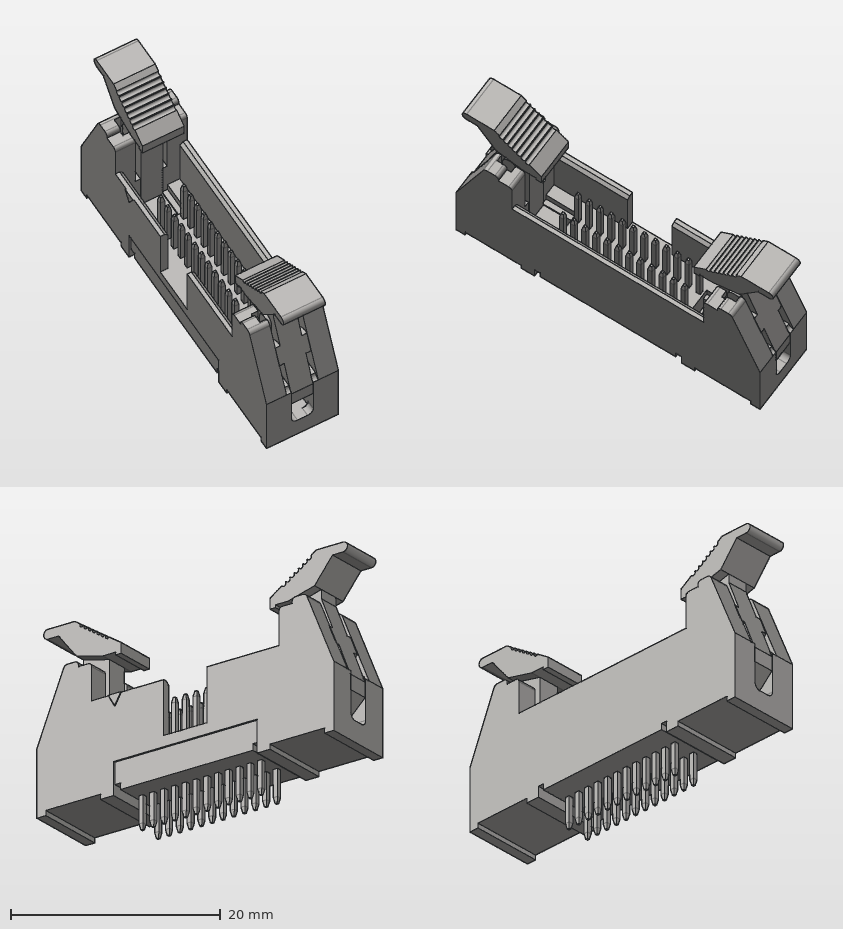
import cadquery as cq
import math


body_half_length = 17.5
body_depth = 7.95
underside_z = 0.55
floor_z = 4.72
wall_top_z = 10.55
cavity_half_width = 3.15
lead_in_width = 0.35
lead_in_height = 0.32

tower_inner_x = 11.02
tower_step_x = 12.6
tower_crest_x = 14.2
tower_ledge_z = 14.53
tower_top_z = 15.15
shoulder_z = 7.23
step_radius = 0.4
crest_radius = 0.55
tower_gap = 3.5
gap_floor_z = 7.75
gap_lip = gap_floor_z - shoulder_z

key_slot_width = 5.1
relief_half_length = 8.45
relief_top_z = 3.55
relief_depth = 0.2
corner_notch_length = 0.65
corner_notch_top_z = 1.2
end_foot_length = 1.07
inner_foot_length = 1.55
mark_x = -8.25
mark_width = 1.5
mark_height = 1.3
mark_thickness = 0.1

pins_per_row = 12
pin_pitch = 1.27
row_spacing = 2.55
pin_width = 0.5
pin_bottom_z = -3.0
pin_top_z = 9.8
pin_tip_length = 0.6
pin_tip_inset = 0.125

latch_width = 2.4
latch_inner_x = 10.9
neck_x = 14.03
neck_top_z = 16.6
neck_bottom_z = 15.65
latch_heel_x = 17.43
latch_heel_top_z = 6.9
latch_heel_bottom_z = 5.3
foot_tip_x = 8.23
foot_heel_x = 14.45
foot_bottom_z = 2.5
foot_top_z = 3.75
pivot_x = 15.1
pivot_z = 11.05
pivot_diameter = 2.5
boss_x = 12.92
boss_z = 13.67
boss_bottom_z = 12.28
boss_diameter = 1.6
boss_span = 3.15

handle_width = 4.6
handle_tip_x = 17.9
handle_top_z = 20.3
handle_tip_thickness = 1.05
handle_underside_x = 16.15
ramp_top_x = 14.2
ramp_end_x = 8.77
ramp_end_z = 16.68
hook_root_x = 9.4
hook_top_z = 15.82
hook_bottom_z = 15.55
groove_count = 7
first_groove_x = 13.4
groove_pitch_x = 0.5
groove_radius = 0.25

latch_slot_end_x = 7.48
latch_slot_floor_z = 2.25
window_length = 1.0
window_corner_radius = 0.65
foot_recess_width = 3.58
foot_recess_floor_z = 3.95
guide_span = 5.0
guide_floor_inner_z = 13.6
guide_floor_outer_z = 11.1


def box(x_range, y_range, z_range):
    """Axis-aligned box between three pairs of limits."""
    size = [high - low for low, high in (x_range, y_range, z_range)]
    corner = (x_range[0], y_range[0], z_range[0])
    return cq.Workplane("XY").box(*size, centered=False).translate(corner)


def centered_plate(outline, width):
    """Extrude an XZ outline to a width centred on Y = 0."""
    return outline.extrude(width / 2, both=True)


def polygon(points):
    return cq.Workplane("XZ").polyline(points).close()


def both_ends(right_end):
    """The feature at the +X end together with its mirror image."""
    return right_end.union(right_end.mirror("YZ"))


def y_span(width):
    return (-width / 2, width / 2)


def make_tower():
    """One end of the housing: a full-depth block with a sloping outer side."""
    profile = polygon([
        (tower_inner_x, 0),
        (body_half_length, 0),
        (body_half_length, shoulder_z),
        (tower_crest_x, tower_top_z),
        (tower_step_x, tower_top_z),
        (tower_step_x, tower_ledge_z),
        (tower_inner_x, tower_ledge_z),
    ])
    tower = centered_plate(profile, body_depth)

    def round_edge(solid, x, z, radius):
        near = 0.05
        selector = cq.selectors.BoxSelector(
            (x - near, -body_depth, z - near), (x + near, body_depth, z + near))
        return solid.edges(selector).fillet(radius)

    tower = round_edge(tower, tower_crest_x, tower_top_z, crest_radius)
    tower = round_edge(tower, tower_step_x, tower_top_z, step_radius)
    return round_edge(tower, tower_inner_x, tower_ledge_z, step_radius)


def make_tower_gap():
    """Gap between the tower halves, with a concave lip at the outer end."""
    outline = (
        cq.Workplane("XZ")
        .moveTo(tower_inner_x, gap_floor_z)
        .lineTo(body_half_length - gap_lip, gap_floor_z)
        .radiusArc((body_half_length, shoulder_z), -gap_lip)
        .lineTo(body_half_length, handle_top_z)
        .lineTo(tower_inner_x, handle_top_z)
        .close()
    )
    return centered_plate(outline, tower_gap)


def make_boss_guide():
    """Top-loading groove in the tower walls with a sloping floor."""
    inner_x = boss_x - boss_diameter / 2
    outer_x = boss_x + boss_diameter / 2
    outline = polygon([
        (inner_x, handle_top_z),
        (inner_x, guide_floor_inner_z),
        (outer_x, guide_floor_outer_z),
        (outer_x, handle_top_z),
    ])
    return centered_plate(outline, guide_span)


def make_latch_slot():
    """Slot for the latch, open at the top and through a round-cornered window in the end face."""
    window_inner_x = body_half_length - window_length
    slot = box((latch_slot_end_x, window_inner_x), y_span(latch_width),
               (latch_slot_floor_z, handle_top_z))
    window = box((window_inner_x, body_half_length), y_span(latch_width),
                 (latch_slot_floor_z, handle_top_z))
    window = window.edges("|X and <Z").fillet(window_corner_radius)
    foot_recess = box((latch_slot_end_x, tower_inner_x), y_span(foot_recess_width),
                      (foot_recess_floor_z, floor_z))
    return slot.union(window).union(foot_recess)


def make_cavity():
    """Mating cavity with a chamfered lead-in along both long walls."""
    half_mouth = cavity_half_width + lead_in_width
    lead_in_z = wall_top_z - lead_in_height
    return (
        cq.Workplane("YZ")
        .polyline([
            (-cavity_half_width, floor_z),
            (cavity_half_width, floor_z),
            (cavity_half_width, lead_in_z),
            (half_mouth, wall_top_z),
            (-half_mouth, wall_top_z),
            (-cavity_half_width, lead_in_z),
        ])
        .close()
        .extrude(tower_inner_x, both=True)
    )


def make_underside_cut():
    """Space under the housing that leaves a foot at each end and beside the relief."""
    end_space = box(
        (relief_half_length + inner_foot_length, body_half_length - end_foot_length),
        y_span(body_depth), (0, underside_z))
    corner_notch = box(
        (relief_half_length - corner_notch_length, relief_half_length),
        y_span(body_depth), (0, corner_notch_top_z))
    middle_space = box((-relief_half_length, relief_half_length),
                       y_span(body_depth), (0, underside_z))
    return both_ends(end_space.union(corner_notch)).union(middle_space)


def make_housing():
    front_y = -body_depth / 2
    middle = box((-tower_inner_x, tower_inner_x), y_span(body_depth), (0, wall_top_z))
    housing = middle.union(both_ends(make_tower()))
    housing = housing.cut(make_cavity()).cut(make_underside_cut())

    latch_space = make_tower_gap().union(make_boss_guide()).union(make_latch_slot())
    housing = housing.cut(both_ends(latch_space))

    key_slot = box(y_span(key_slot_width), (front_y, -cavity_half_width),
                   (floor_z, wall_top_z))
    relief = box((-relief_half_length, relief_half_length),
                 (front_y, front_y + relief_depth), (0, relief_top_z))
    housing = housing.cut(key_slot).cut(relief)

    mark = (
        polygon([
            (mark_x - mark_width / 2, wall_top_z),
            (mark_x + mark_width / 2, wall_top_z),
            (mark_x, wall_top_z - mark_height),
        ])
        .extrude(mark_thickness)
        .translate((0, front_y, 0))
    )
    return housing.union(mark)


def make_handle():
    """Thumb handle with finger grooves across its ramp."""
    tip_bottom_z = handle_top_z - handle_tip_thickness
    tip_radius = handle_tip_thickness / 2
    outline = (
        cq.Workplane("XZ")
        .moveTo(ramp_top_x, handle_top_z)
        .lineTo(handle_tip_x - tip_radius, handle_top_z)
        .threePointArc((handle_tip_x, handle_top_z - tip_radius),
                       (handle_tip_x - tip_radius, tip_bottom_z))
        .lineTo(handle_underside_x, tip_bottom_z)
        .lineTo(neck_x, neck_top_z)
        .lineTo(latch_inner_x, hook_top_z)
        .lineTo(hook_root_x, hook_top_z)
        .lineTo(hook_root_x, hook_bottom_z)
        .lineTo(ramp_end_x, hook_bottom_z)
        .lineTo(ramp_end_x, ramp_end_z)
        .close()
    )
    handle = centered_plate(outline, handle_width)

    ramp_slope = (handle_top_z - ramp_end_z) / (ramp_top_x - ramp_end_x)
    groove_centers = []
    for index in range(groove_count):
        groove_x = first_groove_x - index * groove_pitch_x
        groove_z = handle_top_z - (ramp_top_x - groove_x) * ramp_slope
        groove_centers.append((groove_x, groove_z))
    grooves = cq.Workplane("XZ").pushPoints(groove_centers).circle(groove_radius)
    return handle.cut(centered_plate(grooves, handle_width))


def make_latch():
    """Latch lever with its foot, handle, pivot disc and guide bosses."""
    lever_outline = polygon([
        (latch_inner_x, hook_top_z),
        (neck_x, neck_top_z),
        (neck_x, neck_bottom_z),
        (latch_heel_x, latch_heel_top_z),
        (latch_heel_x, latch_heel_bottom_z),
        (foot_heel_x, foot_bottom_z),
        (foot_tip_x, foot_bottom_z),
        (foot_tip_x, foot_top_z),
        (latch_inner_x, foot_top_z),
    ])
    lever = centered_plate(lever_outline, latch_width)

    pivot = centered_plate(
        cq.Workplane("XZ").center(pivot_x, pivot_z).circle(pivot_diameter / 2), tower_gap)
    outer_face_limit = polygon([
        (latch_inner_x, neck_bottom_z),
        (neck_x, neck_bottom_z),
        (latch_heel_x, latch_heel_top_z),
        (latch_inner_x, latch_heel_top_z),
    ])
    pivot = pivot.intersect(centered_plate(outer_face_limit, tower_gap))

    boss_radius = boss_diameter / 2
    boss_outline = (
        cq.Workplane("XZ")
        .moveTo(boss_x - boss_radius, boss_bottom_z)
        .lineTo(boss_x + boss_radius, boss_bottom_z)
        .lineTo(boss_x + boss_radius, boss_z)
        .threePointArc((boss_x, boss_z + boss_radius), (boss_x - boss_radius, boss_z))
        .close()
    )
    bosses = centered_plate(boss_outline, boss_span)
    return lever.union(pivot).union(bosses).union(make_handle())


def make_pins():
    """Two rows of square pins, tapered at both ends."""
    taper = math.degrees(math.atan2(pin_tip_inset, pin_tip_length))
    tip = cq.Workplane("XY").rect(pin_width, pin_width).extrude(pin_tip_length, taper=taper)
    shank_z = (pin_bottom_z + pin_tip_length, pin_top_z - pin_tip_length)
    pin = box(y_span(pin_width), y_span(pin_width), shank_z)
    pin = pin.union(tip.mirror("XY").translate((0, 0, shank_z[0])))
    pin = pin.union(tip.translate((0, 0, shank_z[1])))
    positions = cq.Workplane("XY").rarray(pin_pitch, row_spacing, pins_per_row, 2)
    return positions.eachpoint(pin.val(), combine=True)


result = make_housing().union(both_ends(make_latch())).union(make_pins())